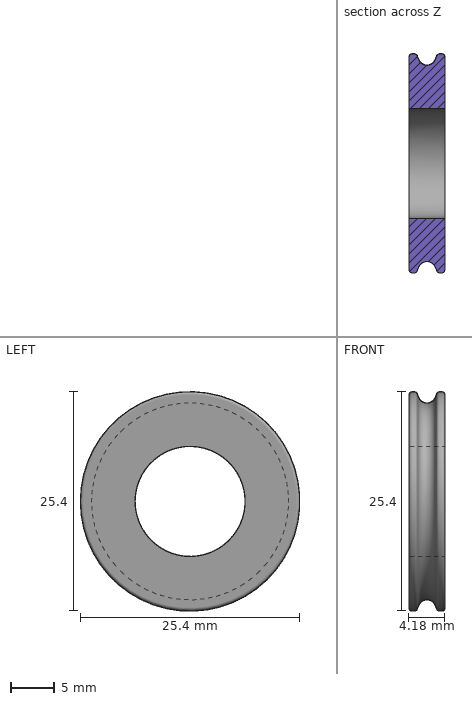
import cadquery as cq
import math

width = 4.18
outer_diameter = 25.4
bore_diameter = 12.7

rim_fillet = 0.381
groove_depth = 1.31
groove_radius = 1.016
wall_angle = math.radians(22.5)

half_width = width / 2
outer_radius = outer_diameter / 2
bore_radius = bore_diameter / 2


def point_on_circle(center, radius, angle):
    """Point at an angle (radians, from +X toward +Y) on a circle in the profile plane."""
    return (center[0] + radius * math.cos(angle), center[1] + radius * math.sin(angle))


floor_center = (0, outer_radius - groove_depth + groove_radius)
fillet_height = outer_radius - rim_fillet
floor_end = point_on_circle(floor_center, groove_radius, -wall_angle)
floor_bottom = (0, outer_radius - groove_depth)

lip_wall_angle = math.pi - wall_angle
lip_end_height = fillet_height + rim_fillet * math.sin(lip_wall_angle)
lip_end_x = floor_end[0] + (lip_end_height - floor_end[1]) * math.tan(wall_angle)
lip_center = (lip_end_x + rim_fillet * math.cos(wall_angle), fillet_height)
lip_middle_angle = (lip_wall_angle + math.pi / 2) / 2
lip_middle = point_on_circle(lip_center, rim_fillet, lip_middle_angle)
lip_end = (lip_end_x, lip_end_height)
lip_top = (lip_center[0], outer_radius)

edge_center = (half_width - rim_fillet, fillet_height)
edge_top = (edge_center[0], outer_radius)
edge_middle = point_on_circle(edge_center, rim_fillet, math.pi / 4)
edge_side = (half_width, fillet_height)


def mirrored(point):
    """Reflect a profile point across the middle plane of the wheel."""
    return (-point[0], point[1])


def make_wheel():
    """Revolve the closed half section about the X axis."""
    profile = (
        cq.Workplane("XY")
        .moveTo(-half_width, bore_radius)
        .lineTo(half_width, bore_radius)
        .lineTo(*edge_side)
        .threePointArc(edge_middle, edge_top)
        .lineTo(*lip_top)
        .threePointArc(lip_middle, lip_end)
        .lineTo(*floor_end)
        .threePointArc(floor_bottom, mirrored(floor_end))
        .lineTo(*mirrored(lip_end))
        .threePointArc(mirrored(lip_middle), mirrored(lip_top))
        .lineTo(*mirrored(edge_top))
        .threePointArc(mirrored(edge_middle), mirrored(edge_side))
        .close()
    )
    return profile.revolve(360, (0, 0, 0), (1, 0, 0))


result = make_wheel()